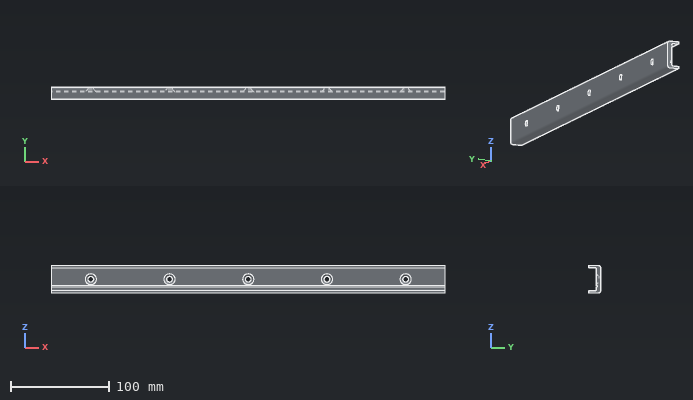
import cadquery as cq

length = 400.0
depth = 12.5
height = 28.0
web_thickness = 5.0
flange_thickness = 2.5

back_corner_radius = 2.5
inner_corner_radius = 1.0
tip_radius = 0.5

groove_height_above_base = 7.0
groove_width = 1.0
groove_depth = 1.0

hole_count = 5
hole_pitch = length / hole_count
hole_diameter = 5.5
countersink_diameter = 11.0
countersink_angle = 90

half_height = height / 2
web_front = depth / 2 - web_thickness
clear_height = height - 2 * flange_thickness


def centered_box(size_y, size_z, center_y, center_z):
    """Full-length bar with the given section size and center."""
    return cq.Workplane("XY").box(length, size_y, size_z).translate((0, center_y, center_z))


def make_channel():
    """C-shaped rail, open toward -Y, with rounded corners."""
    outer = centered_box(depth, height, 0, 0)
    outer = outer.edges("|X and >Y").fillet(back_corner_radius)
    cavity_depth = depth - web_thickness
    cavity = centered_box(cavity_depth, clear_height, web_front - cavity_depth / 2, 0)
    cavity = cavity.edges("|X and >Y").fillet(inner_corner_radius)
    return outer.cut(cavity).edges("|X and <Y").fillet(tip_radius)


def make_groove():
    """Square groove cutter running the whole length of the web."""
    center_y = web_front + groove_depth / 2
    center_z = groove_height_above_base - half_height
    return centered_box(groove_depth, groove_width, center_y, center_z)


def drill_holes(body):
    """Row of countersunk holes through the web, sunk from the open side."""
    return (
        body.copyWorkplane(cq.Workplane("XZ", origin=(0, web_front, 0)))
        .rarray(hole_pitch, 4, hole_count, 1)
        .cskHole(hole_diameter, countersink_diameter, countersink_angle)
    )


result = drill_holes(make_channel().cut(make_groove()))